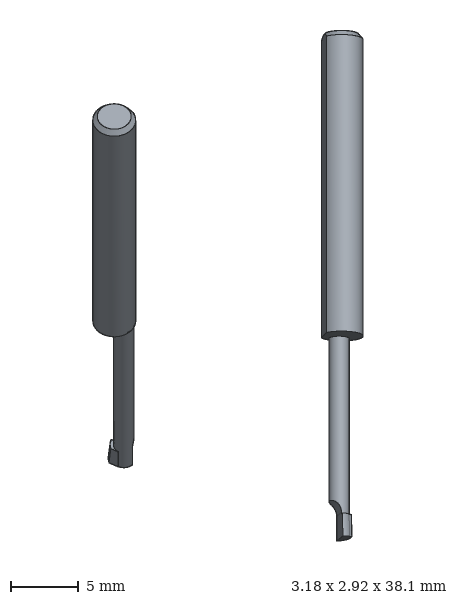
import cadquery as cq
import math

overall_length = 38.1
neck_length = 15.24

shank_diameter = 3.175
shank_radius = shank_diameter / 2
width_across_flat = 2.92
chamfer_width = 0.34
chamfer_height = 0.4

neck_diameter = 1.52
neck_radius = neck_diameter / 2
neck_x = shank_radius - neck_radius

rake_face_height = 1.92
rake_runout_radius = 1.0

head_height = 1.8
tip_x = -0.43
relief_middle = (-0.35, -0.3)
relief_end = (-0.16, -0.57)
front_projection = 0.035
front_y = -neck_radius - front_projection
front_left_x = 0.02
front_right_x = neck_x

side_lean = 0.18
end_angle_x = 2.0
end_angle_y = 6.0


def make_shank():
    """Cylinder with a chamfered upper end and a full-length flat."""
    shank = (
        cq.Workplane("XY")
        .workplane(offset=neck_length)
        .circle(shank_radius)
        .extrude(overall_length - neck_length)
        .faces(">Z")
        .edges()
        .chamfer(chamfer_height, chamfer_width)
    )
    inside_flat = (
        cq.Workplane("XY")
        .box(shank_diameter, width_across_flat, overall_length, centered=(True, False, False))
        .translate((0, -shank_radius, 0))
    )
    return shank.intersect(inside_flat)


def make_neck():
    """Offset cylinder running from the shank down to the tip."""
    return cq.Workplane("XY").center(neck_x, 0).circle(neck_radius).extrude(neck_length)


def head_outline(z, shift):
    """Closed head section at height z, with its clearance side moved by shift in X."""
    section = (
        cq.Workplane("XY")
        .workplane(offset=z)
        .moveTo(tip_x + shift, 0)
        .threePointArc(
            (relief_middle[0] + shift, relief_middle[1]),
            (relief_end[0] + shift, relief_end[1]),
        )
        .lineTo(front_left_x + shift, front_y)
        .lineTo(front_right_x, front_y)
        .lineTo(front_right_x, 0)
        .close()
    )
    return section.val()


def make_head():
    """Side-cutting tooth whose cutting edge leans outward toward the bottom."""
    outlines = [head_outline(0, 0), head_outline(head_height, side_lean)]
    return cq.Workplane("XY").newObject([cq.Solid.makeLoft(outlines, True)])


def make_rake_cut():
    """Material removed on the +Y side, swept up and out through the neck by an arc."""
    arc_middle = rake_runout_radius * math.sqrt(0.5)
    return (
        cq.Workplane("YZ")
        .lineTo(0, rake_face_height)
        .threePointArc(
            (rake_runout_radius - arc_middle, rake_face_height + arc_middle),
            (rake_runout_radius, rake_face_height + rake_runout_radius),
        )
        .lineTo(rake_runout_radius, 0)
        .close()
        .extrude(shank_diameter, both=True)
    )


def make_end_cut():
    """Block below the end clearance plane, which touches the part only at the tip."""
    size = 2 * shank_diameter
    return (
        cq.Workplane("XY")
        .box(size, size, size, centered=(True, True, False))
        .translate((0, 0, -size))
        .rotate((0, 0, 0), (1, 0, 0), -end_angle_y)
        .rotate((0, 0, 0), (0, 1, 0), -end_angle_x)
        .translate((tip_x, 0, 0))
    )


tool = make_shank().union(make_neck()).union(make_head())
result = tool.cut(make_rake_cut()).cut(make_end_cut())